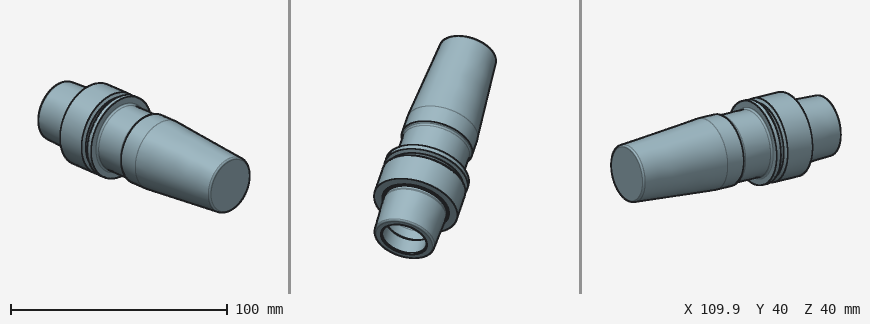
import cadquery as cq
import math

length = 109.9

shank_length = 20.0
shank_tip_radius = 14.4
shank_edge_round = 0.9
taper_end = 17.8
taper_end_radius = 15.2
relief_start = 18.5
relief_radius = 15.1
undercut_start = 19.7
undercut_floor = 20.4
undercut_inner_radius = 14.7
undercut_floor_radius = 15.4
undercut_mouth_radius = 16.0

flange_radius = 20.0
flange_end = 40.0
groove_radius = 17.4
groove_start = 34.8
groove_end = 36.6
groove_chamfer_length = 1.0
groove_chamfer_depth = 1.8
groove_fillet = 0.3

neck_radius = 16.0
neck_fillet = 0.9
collar_fillet_start = 54.7
collar_fillet = 1.5
collar_radius = 17.0
collar_end = 65.4
ramp_angle = math.radians(45)
ramp_start = collar_fillet_start + collar_fillet * math.sin(ramp_angle)
ramp_start_radius = neck_radius + collar_fillet * (1 - math.cos(ramp_angle))
collar_start = ramp_start + (collar_radius - ramp_start_radius) / math.tan(ramp_angle)

nose_radius = 13.6
nose_edge_round = 0.9

mouth_radius = 11.1
mouth_chamfer = 0.5
clamp_bore_radius = mouth_radius - mouth_chamfer
clamp_bore_end = 8.0
chamber_radius = 11.6
shoulder_end = clamp_bore_end + chamber_radius - clamp_bore_radius
chamber_depth = 16.3
chamber_fillet = 1.9
pilot_radius = 6.3
pilot_depth = 22.0
pilot_floor_radius = 5.2


def outer_profile():
    return (
        cq.Workplane("XY")
        .lineTo(0, shank_tip_radius - shank_edge_round)
        .radiusArc((shank_edge_round, shank_tip_radius), shank_edge_round)
        .lineTo(taper_end, taper_end_radius)
        .lineTo(relief_start, relief_radius)
        .lineTo(undercut_start, relief_radius)
        .lineTo(undercut_floor, undercut_inner_radius)
        .lineTo(undercut_floor, undercut_floor_radius)
        .lineTo(shank_length, undercut_mouth_radius)
        .lineTo(shank_length, flange_radius)
        .lineTo(groove_start - groove_chamfer_length, flange_radius)
        .lineTo(groove_start, flange_radius - groove_chamfer_depth)
        .lineTo(groove_start, groove_radius + groove_fillet)
        .radiusArc((groove_start + groove_fillet, groove_radius), -groove_fillet)
        .lineTo(groove_end - groove_fillet, groove_radius)
        .radiusArc((groove_end, groove_radius + groove_fillet), -groove_fillet)
        .lineTo(groove_end, flange_radius - groove_chamfer_depth)
        .lineTo(groove_end + groove_chamfer_length, flange_radius)
        .lineTo(flange_end, flange_radius)
        .lineTo(flange_end, neck_radius + neck_fillet)
        .radiusArc((flange_end + neck_fillet, neck_radius), -neck_fillet)
        .lineTo(collar_fillet_start, neck_radius)
        .radiusArc((ramp_start, ramp_start_radius), -collar_fillet)
        .lineTo(collar_start, collar_radius)
        .lineTo(collar_end, collar_radius)
        .lineTo(length - nose_edge_round, nose_radius)
        .radiusArc((length, nose_radius - nose_edge_round), nose_edge_round)
        .lineTo(length, 0)
        .close()
    )


def hollow_profile():
    return (
        cq.Workplane("XY")
        .lineTo(0, mouth_radius)
        .lineTo(mouth_chamfer, clamp_bore_radius)
        .lineTo(clamp_bore_end, clamp_bore_radius)
        .lineTo(shoulder_end, chamber_radius)
        .lineTo(chamber_depth - chamber_fillet, chamber_radius)
        .radiusArc((chamber_depth, chamber_radius - chamber_fillet), chamber_fillet)
        .lineTo(chamber_depth, pilot_radius)
        .lineTo(pilot_depth, pilot_floor_radius)
        .lineTo(pilot_depth, 0)
        .close()
    )


def turned(profile):
    return profile.revolve(axisStart=(0, 0, 0), axisEnd=(1, 0, 0))


result = turned(outer_profile()).cut(turned(hollow_profile()))